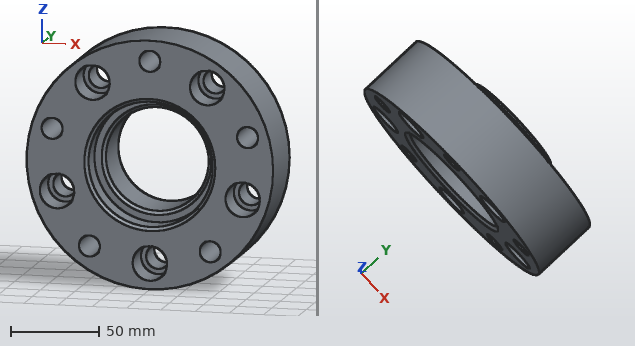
import cadquery as cq
import math

BODY_DIAMETER = 144.0
BODY_THICKNESS = 40.0

SPIGOT_DIAMETER = 67.0
SPIGOT_HEIGHT = 8.0
SPIGOT_CHAMFER = 2.0
SPIGOT_ROOT_FILLET = 2.0

BORE_DIAMETER = 60.0
RECESS_DIAMETER = 72.5
RECESS_DEPTH = 16.0
BORE_CHAMFER = 2.0

HOLES_PER_RING = 5
PLAIN_HOLE_DIAMETER = 12.2
PLAIN_HOLE_RING_RADIUS = 60.0
PLAIN_HOLE_START_ANGLE = 90.0
BOLT_HOLE_DIAMETER = 14.0
BOLT_HEAD_DIAMETER = 20.0
BOLT_HEAD_DEPTH = 20.0
BOLT_HOLE_RING_RADIUS = 57.0
BOLT_HOLE_START_ANGLE = -90.0

OVERALL_LENGTH = BODY_THICKNESS + SPIGOT_HEIGHT


def revolve_about_y(half_profile):
    """Turn a closed (radius, y) profile around the Y axis."""
    return half_profile.close().revolve(360, (0, 0, 0), (0, 1, 0))


def make_turned_blank():
    """Disc with a chamfered spigot whose root is filleted into the back face."""
    body_radius = BODY_DIAMETER / 2
    spigot_radius = SPIGOT_DIAMETER / 2
    root_inset = SPIGOT_ROOT_FILLET * (1 - math.sqrt(0.5))
    profile = (
        cq.Workplane("XY")
        .lineTo(body_radius, 0)
        .lineTo(body_radius, BODY_THICKNESS)
        .lineTo(spigot_radius + SPIGOT_ROOT_FILLET, BODY_THICKNESS)
        .threePointArc(
            (spigot_radius + root_inset, BODY_THICKNESS + root_inset),
            (spigot_radius, BODY_THICKNESS + SPIGOT_ROOT_FILLET),
        )
        .lineTo(spigot_radius, OVERALL_LENGTH - SPIGOT_CHAMFER)
        .lineTo(spigot_radius - SPIGOT_CHAMFER, OVERALL_LENGTH)
        .lineTo(0, OVERALL_LENGTH)
    )
    return revolve_about_y(profile)


def make_bore():
    """Cutter for the through bore and the wider recess at the front."""
    bore_radius = BORE_DIAMETER / 2
    recess_radius = RECESS_DIAMETER / 2
    profile = (
        cq.Workplane("XY")
        .lineTo(recess_radius + BORE_CHAMFER, 0)
        .lineTo(recess_radius, BORE_CHAMFER)
        .lineTo(recess_radius, RECESS_DEPTH)
        .lineTo(bore_radius + BORE_CHAMFER, RECESS_DEPTH)
        .lineTo(bore_radius, RECESS_DEPTH + BORE_CHAMFER)
        .lineTo(bore_radius, OVERALL_LENGTH)
        .lineTo(0, OVERALL_LENGTH)
    )
    return revolve_about_y(profile)


def make_hole_ring(diameter, depth, ring_radius, start_angle):
    """Cutters for one ring of equal holes sunk from the front face."""
    return (
        cq.Workplane("XZ")
        .polarArray(ring_radius, start_angle, 360, HOLES_PER_RING)
        .circle(diameter / 2)
        .extrude(-depth)
    )


plain_holes = make_hole_ring(
    PLAIN_HOLE_DIAMETER, BODY_THICKNESS, PLAIN_HOLE_RING_RADIUS, PLAIN_HOLE_START_ANGLE
)
bolt_holes = make_hole_ring(
    BOLT_HOLE_DIAMETER, BODY_THICKNESS, BOLT_HOLE_RING_RADIUS, BOLT_HOLE_START_ANGLE
)
bolt_head_recesses = make_hole_ring(
    BOLT_HEAD_DIAMETER, BOLT_HEAD_DEPTH, BOLT_HOLE_RING_RADIUS, BOLT_HOLE_START_ANGLE
)

result = (
    make_turned_blank()
    .cut(make_bore())
    .cut(plain_holes)
    .cut(bolt_holes)
    .cut(bolt_head_recesses)
)